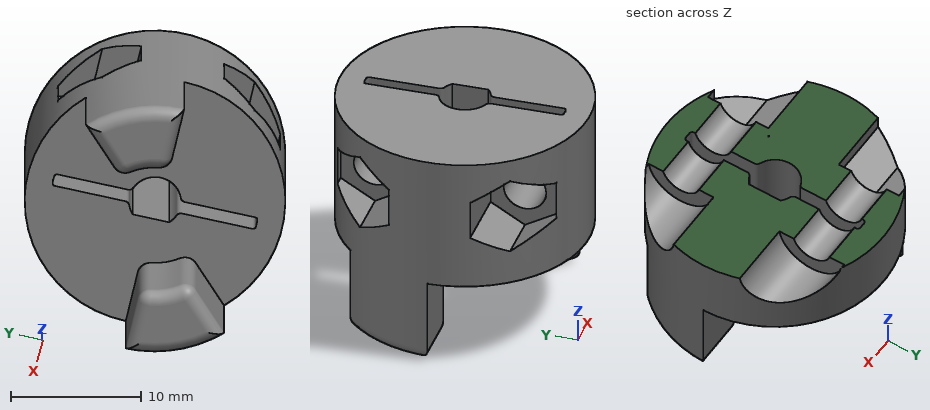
import cadquery as cq
import math

hub_radius = 10
total_height = 18
jaw_height = 7
hub_height = total_height - jaw_height

jaw_inner_radius = 5
jaw_angle = 45
jaw_start_angle = 135
jaw_count = 2
jaw_corner_radius = 1
jaw_tip_radius = 1

bore_radius = 2
bore_flat_x = 1.4
slot_width = 0.95
slot_length = 16
slot_end_radius = 0.25
slot_mouth_radius = 0.4

screw_y = 6
screw_z = 13
screw_hole_diameter = 3.4
screw_head_diameter = 6
nut_across_flats = 5.5
nut_across_corners = nut_across_flats / math.cos(math.pi / 6)
nut_seat_x = -4
head_seat_x = 4


def polar(radius, angle):
    """Point in the XY plane at a radius and an angle in degrees."""
    radians = math.radians(angle)
    return radius * math.cos(radians), radius * math.sin(radians)


def make_hub():
    return cq.Workplane("XY").workplane(offset=jaw_height).circle(hub_radius).extrude(hub_height)


def make_jaw():
    start_angle = jaw_start_angle
    middle_angle = start_angle + jaw_angle / 2
    end_angle = start_angle + jaw_angle
    jaw = (
        cq.Workplane("XY")
        .moveTo(*polar(jaw_inner_radius, start_angle))
        .lineTo(*polar(hub_radius, start_angle))
        .threePointArc(polar(hub_radius, middle_angle), polar(hub_radius, end_angle))
        .lineTo(*polar(jaw_inner_radius, end_angle))
        .threePointArc(polar(jaw_inner_radius, middle_angle), polar(jaw_inner_radius, start_angle))
        .close()
        .extrude(jaw_height)
    )
    inner_reach = (jaw_inner_radius + hub_radius / math.sqrt(2)) / 2
    inner_corners = cq.selectors.BoxSelector(
        (-inner_reach, -inner_reach, 0),
        (inner_reach, inner_reach, jaw_height),
    )
    jaw = jaw.edges("|Z").edges(inner_corners).fillet(jaw_corner_radius)
    return jaw.faces("<Z").edges().fillet(jaw_tip_radius)


def make_bore_and_slot():
    bore = cq.Workplane("XY").circle(bore_radius).extrude(total_height)
    kept_side = cq.Workplane("XY").box(
        bore_radius + bore_flat_x, 2 * bore_radius, total_height, centered=(False, True, False)
    ).translate((-bore_radius, 0, 0))
    slot = (
        cq.Workplane("XY")
        .rect(slot_width, slot_length)
        .extrude(total_height)
        .edges("|Z")
        .fillet(slot_end_radius)
    )
    opening = bore.intersect(kept_side).union(slot)
    mouth_corners = cq.selectors.BoxSelector(
        (-slot_width, -bore_radius, 0), (slot_width, bore_radius, total_height)
    )
    return opening.edges("|Z").edges(mouth_corners).fillet(slot_mouth_radius)


def make_screw_seat(y):
    """Through hole with a hexagonal nut pocket at -X and a round head pocket at +X."""
    axis = cq.Workplane("YZ").center(y, screw_z)
    hole = axis.workplane(offset=-hub_radius).circle(screw_hole_diameter / 2).extrude(2 * hub_radius)
    head = (
        axis.workplane(offset=head_seat_x)
        .circle(screw_head_diameter / 2)
        .extrude(hub_radius - head_seat_x)
    )
    nut = (
        axis.workplane(offset=-hub_radius)
        .transformed(rotate=(0, 0, 90))
        .polygon(6, nut_across_corners)
        .extrude(hub_radius + nut_seat_x)
    )
    return hole.union(head).union(nut)


result = make_hub()
for index in range(jaw_count):
    result = result.union(make_jaw().rotate((0, 0, 0), (0, 0, 1), index * 360 / jaw_count))
result = result.cut(make_bore_and_slot())
for side in (-1, 1):
    result = result.cut(make_screw_seat(side * screw_y))